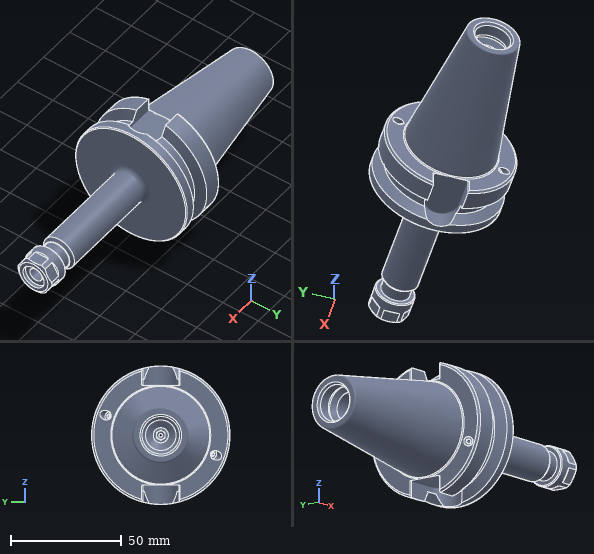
import cadquery as cq
import math


GAUGE_DIAMETER = 44.5
TAPER_LENGTH = 65.5
TAPER_RATE = 7 / 24
TAPER_END_FILLET = 0.8
LAND_CHAMFER = 0.5

FLANGE_DIAMETER = 63.0
FLANGE_START = 1.5
FLANGE_END = 27.0
FLANGE_BACK_CHAMFER = 1.0
FLANGE_FRONT_CHAMFER = 0.5
GROOVE_DIAMETER = 53.3
GROOVE_START = 14.4
GROOVE_WIDTH = 4.7
GROOVE_FLANK_ANGLE = 30

SLOT_WIDTH = 16.4
SLOT_FLOOR_HEIGHT = 22.5
SLOT_END = 23.7
SLOT_FLOOR_FILLET = 0.5
SLOT_MOUTH_CHAMFER = 0.5

SHANK_DIAMETER = 17.5
SHANK_END = 83.7
SHANK_FILLET = 2.8
SHANK_CHAMFER = 1.5
NOSE_DIAMETER = 13.9
NOSE_DEPTH_IN_NUT = 10.0

COUNTERBORE_DIAMETER = 17.0
COUNTERBORE_DEPTH = 7.0
MOUTH_DIAMETER = 18.9
MOUTH_LENGTH = 1.3
RELIEF_DIAMETER = 18.7
RELIEF_WIDTH = 2.0
RELIEF_FLOOR_ANGLE = 45
THREAD_BORE_DIAMETER = 13.9
THREAD_BORE_DEPTH = 30.0
DRILL_TIP_HALF_ANGLE = 59
THROUGH_BORE_DIAMETER = 6.8

STOP_SCREW_LENGTH = 10.0
STOP_SCREW_RECESS = 1.7
STOP_SCREW_HEX = 4.0
STOP_SCREW_HEX_DEPTH = 4.0
STOP_SCREW_HOLE_DIAMETER = 1.52

COOLANT_HOLE_DIAMETER = 4.2
COOLANT_HOLE_RADIUS = 26.7
COOLANT_HOLE_TURN = 20
COOLANT_HOLE_COUNT = 2
COOLANT_HOLE_SLANT = 37
PLUG_RECESS = 2.7
PLUG_LENGTH = 4.2
PLUG_HEX = 2.0
PLUG_HEX_DEPTH = 1.7

NUT_DIAMETER = 19.0
NUT_START = 89.7
OVERALL_LENGTH = 167
NUT_END = OVERALL_LENGTH - TAPER_LENGTH
NUT_BACK_CHAMFER = 0.5
NUT_FRONT_CHAMFER_LENGTH = 1.0
NUT_FRONT_CHAMFER_DEPTH = 1.5
NUT_MOUTH_DIAMETER = 11.9
NUT_FLATS = 6
NUT_FLAT_DISTANCE = 17.5
NUT_FLAT_START = 95.2
NUT_FLAT_WALL_ANGLE = 60

CUT_CLEARANCE = 1.7

BACK_END = -TAPER_LENGTH
SMALL_END_RADIUS = (GAUGE_DIAMETER - TAPER_RATE * TAPER_LENGTH) / 2
NOSE_END = NUT_START + NOSE_DEPTH_IN_NUT


def cone_length(large_diameter, small_diameter, half_angle):
    """Axial length of a cone between two diameters."""
    return (large_diameter - small_diameter) / 2 / math.tan(math.radians(half_angle))


THREAD_BORE_END = BACK_END + THREAD_BORE_DEPTH
DRILL_TIP_LENGTH = cone_length(THREAD_BORE_DIAMETER, THROUGH_BORE_DIAMETER, DRILL_TIP_HALF_ANGLE)
DRILL_TIP_END = THREAD_BORE_END + DRILL_TIP_LENGTH
STOP_SCREW_START = DRILL_TIP_END + STOP_SCREW_RECESS


def cylinder(diameter, start, end):
    """Round bar on the tool axis."""
    return cq.Workplane("YZ", origin=(start, 0, 0)).circle(diameter / 2).extrude(end - start)


def hex_socket(width, bottom_diameter, depth):
    """Hexagonal socket along local Z from 0, ending in a cone of drill-tip angle."""
    corner_diameter = width / math.cos(math.pi / 6)
    hexagon = cq.Workplane("XY").polygon(6, corner_diameter).extrude(depth)
    tip_depth = cone_length(width, bottom_diameter, DRILL_TIP_HALF_ANGLE)
    tip = cq.Solid.makeCone(width / 2, bottom_diameter / 2, tip_depth, cq.Vector(0, 0, depth))
    return hexagon.union(cq.Workplane(tip))


def holder_outside():
    """Taper, flange, shank and nose as one turned shape."""
    flange_radius = FLANGE_DIAMETER / 2
    groove_radius = GROOVE_DIAMETER / 2
    gauge_radius = GAUGE_DIAMETER / 2
    shank_radius = SHANK_DIAMETER / 2
    flank_length = (flange_radius - groove_radius) * math.tan(math.radians(GROOVE_FLANK_ANGLE))
    groove_end = GROOVE_START + GROOVE_WIDTH
    fillet_offset = SHANK_FILLET * (1 - math.sqrt(0.5))
    outside = (
        cq.Workplane("XY")
        .moveTo(BACK_END, 0)
        .lineTo(BACK_END, SMALL_END_RADIUS)
        .lineTo(0, gauge_radius)
        .lineTo(FLANGE_START - LAND_CHAMFER, gauge_radius)
        .lineTo(FLANGE_START, gauge_radius + LAND_CHAMFER)
        .lineTo(FLANGE_START, flange_radius - FLANGE_BACK_CHAMFER)
        .lineTo(FLANGE_START + FLANGE_BACK_CHAMFER, flange_radius)
        .lineTo(GROOVE_START - flank_length, flange_radius)
        .lineTo(GROOVE_START, groove_radius)
        .lineTo(groove_end, groove_radius)
        .lineTo(groove_end + flank_length, flange_radius)
        .lineTo(FLANGE_END - FLANGE_FRONT_CHAMFER, flange_radius)
        .lineTo(FLANGE_END, flange_radius - FLANGE_FRONT_CHAMFER)
        .lineTo(FLANGE_END, shank_radius + SHANK_FILLET)
        .threePointArc(
            (FLANGE_END + fillet_offset, shank_radius + fillet_offset),
            (FLANGE_END + SHANK_FILLET, shank_radius),
        )
        .lineTo(SHANK_END - SHANK_CHAMFER, shank_radius)
        .lineTo(SHANK_END, shank_radius - SHANK_CHAMFER)
        .lineTo(SHANK_END, NOSE_DIAMETER / 2)
        .lineTo(NOSE_END, NOSE_DIAMETER / 2)
        .lineTo(NOSE_END, 0)
        .close()
        .revolve(360, (0, 0, 0), (1, 0, 0))
    )
    return outside.faces("<X").edges().fillet(TAPER_END_FILLET)


def holder_bore():
    """Stepped bore from the small end of the taper to the nose."""
    counterbore_radius = COUNTERBORE_DIAMETER / 2
    counterbore_end = BACK_END + COUNTERBORE_DEPTH
    relief_end = counterbore_end + RELIEF_WIDTH
    floor_length = cone_length(RELIEF_DIAMETER, THREAD_BORE_DIAMETER, RELIEF_FLOOR_ANGLE)
    return (
        cq.Workplane("XY")
        .moveTo(BACK_END, 0)
        .lineTo(BACK_END, MOUTH_DIAMETER / 2)
        .lineTo(BACK_END + MOUTH_LENGTH, counterbore_radius)
        .lineTo(counterbore_end, counterbore_radius)
        .lineTo(counterbore_end, RELIEF_DIAMETER / 2)
        .lineTo(relief_end, RELIEF_DIAMETER / 2)
        .lineTo(relief_end + floor_length, THREAD_BORE_DIAMETER / 2)
        .lineTo(THREAD_BORE_END, THREAD_BORE_DIAMETER / 2)
        .lineTo(DRILL_TIP_END, THROUGH_BORE_DIAMETER / 2)
        .lineTo(NOSE_END, THROUGH_BORE_DIAMETER / 2)
        .lineTo(NOSE_END, 0)
        .close()
        .revolve(360, (0, 0, 0), (1, 0, 0))
    )


def drive_slot():
    """Round-ended slot on the +Z side, open at the back of the flange."""
    half_width = SLOT_WIDTH / 2
    mouth_half_width = half_width + SLOT_MOUTH_CHAMFER
    chamfer_end = FLANGE_START + SLOT_MOUTH_CHAMFER
    round_center = SLOT_END - half_width
    slot = (
        cq.Workplane("XY", origin=(0, 0, SLOT_FLOOR_HEIGHT))
        .moveTo(0, -mouth_half_width)
        .lineTo(FLANGE_START, -mouth_half_width)
        .lineTo(chamfer_end, -half_width)
        .lineTo(round_center, -half_width)
        .threePointArc((SLOT_END, 0), (round_center, half_width))
        .lineTo(chamfer_end, half_width)
        .lineTo(FLANGE_START, mouth_half_width)
        .lineTo(0, mouth_half_width)
        .close()
        .extrude(FLANGE_DIAMETER / 2 - SLOT_FLOOR_HEIGHT + CUT_CLEARANCE)
    )
    return slot.faces("<Z").edges("not <X").fillet(SLOT_FLOOR_FILLET)


def in_coolant_holes(shape):
    """Copies of a shape, made along local Z, placed on the axis of each coolant hole at the flange face."""
    slanted = shape.rotate((0, 0, 0), (0, 1, 0), 90).rotate((0, 0, 0), (0, 0, 1), -COOLANT_HOLE_SLANT)
    on_face = slanted.translate((FLANGE_START, COOLANT_HOLE_RADIUS, 0))
    step = 360 / COOLANT_HOLE_COUNT
    turns = [COOLANT_HOLE_TURN + step * i for i in range(COOLANT_HOLE_COUNT)]
    return [on_face.rotate((0, 0, 0), (1, 0, 0), turn) for turn in turns]


def make_holder():
    holder = holder_outside().cut(holder_bore())
    slot = drive_slot()
    for turn in (0, 180):
        holder = holder.cut(slot.rotate((0, 0, 0), (1, 0, 0), turn))
    hole_length = COOLANT_HOLE_DIAMETER + PLUG_RECESS + PLUG_LENGTH
    hole = (
        cq.Workplane("XY", origin=(0, 0, -COOLANT_HOLE_DIAMETER))
        .circle(COOLANT_HOLE_DIAMETER / 2)
        .extrude(hole_length)
    )
    for placed_hole in in_coolant_holes(hole):
        holder = holder.cut(placed_hole)
    return holder


def make_stop_screw():
    screw = cylinder(THROUGH_BORE_DIAMETER, STOP_SCREW_START, STOP_SCREW_START + STOP_SCREW_LENGTH)
    hole = cylinder(STOP_SCREW_HOLE_DIAMETER, STOP_SCREW_START, STOP_SCREW_START + STOP_SCREW_LENGTH)
    socket = hex_socket(STOP_SCREW_HEX, STOP_SCREW_HOLE_DIAMETER, STOP_SCREW_HEX_DEPTH)
    socket = socket.rotate((0, 0, 0), (0, 1, 0), 90).translate((STOP_SCREW_START, 0, 0))
    return screw.cut(hole).cut(socket)


def make_plugs():
    plug = cq.Workplane("XY").circle(COOLANT_HOLE_DIAMETER / 2).extrude(PLUG_LENGTH)
    plug = plug.cut(hex_socket(PLUG_HEX, 0, PLUG_HEX_DEPTH))
    return in_coolant_holes(plug.translate((0, 0, PLUG_RECESS)))


def nut_flat_cutter():
    """Block that cuts one wrench flat on the +Z side. Its back wall leans outwards."""
    flat_height = NUT_FLAT_DISTANCE / 2
    cut_height = NUT_DIAMETER / 2 - flat_height + CUT_CLEARANCE
    wall_length = cut_height / math.tan(math.radians(NUT_FLAT_WALL_ANGLE))
    return (
        cq.Workplane("XZ")
        .moveTo(NUT_FLAT_START, flat_height)
        .lineTo(NUT_END, flat_height)
        .lineTo(NUT_END, flat_height + cut_height)
        .lineTo(NUT_FLAT_START - wall_length, flat_height + cut_height)
        .close()
        .extrude(NUT_DIAMETER / 2, both=True)
    )


def make_nut():
    front_start = NUT_END - NUT_FRONT_CHAMFER_LENGTH
    nut = cylinder(NUT_DIAMETER, NUT_START, front_start)
    nut = nut.faces("<X").chamfer(NUT_BACK_CHAMFER)
    front_cone = cq.Solid.makeCone(
        NUT_DIAMETER / 2,
        NUT_DIAMETER / 2 - NUT_FRONT_CHAMFER_DEPTH,
        NUT_FRONT_CHAMFER_LENGTH,
        cq.Vector(front_start, 0, 0),
        cq.Vector(1, 0, 0),
    )
    nut = nut.union(cq.Workplane(front_cone))
    cutter = nut_flat_cutter()
    for i in range(NUT_FLATS):
        nut = nut.cut(cutter.rotate((0, 0, 0), (1, 0, 0), 360 / NUT_FLATS * i))
    nut = nut.cut(cylinder(NOSE_DIAMETER, NUT_START, NOSE_END))
    return nut.cut(cylinder(NUT_MOUTH_DIAMETER, NOSE_END, NUT_END))


holder = make_holder()
stop_screw = make_stop_screw()
plugs = make_plugs()
nut = make_nut()

result = cq.Compound.makeCompound([
    holder.val(),
    stop_screw.val(),
    *[plug.val() for plug in plugs],
    nut.val(),
])